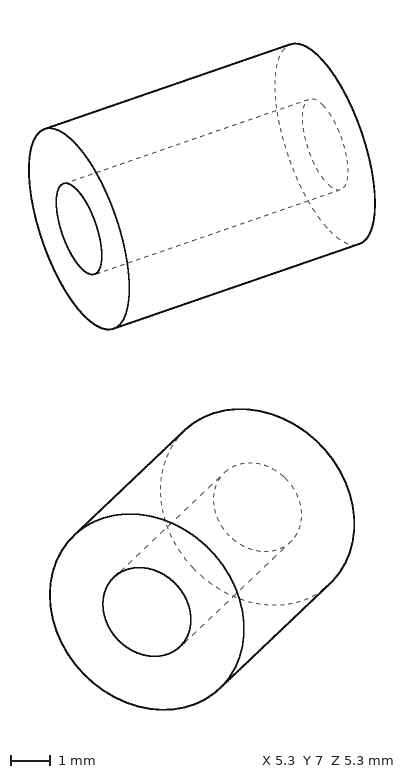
import cadquery as cq

length = 7.0
outer_diameter = 5.3
bore_diameter = 2.4

result = (
    cq.Workplane("XZ")
    .circle(outer_diameter / 2)
    .circle(bore_diameter / 2)
    .extrude(length)
)